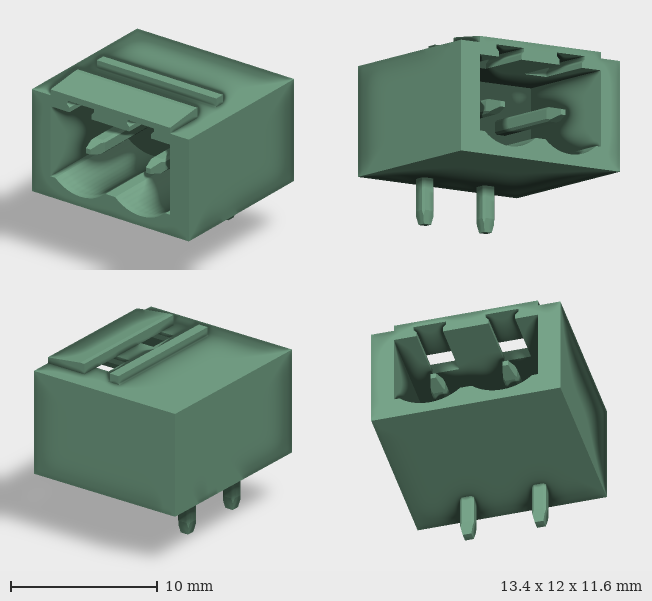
import cadquery as cq


pole_pitch = 5.09
pole_positions = (-pole_pitch / 2, pole_pitch / 2)

body_width = 13.36
body_depth = 12.0
body_height = 7.68
cavity_width = 10.17
cavity_depth = 8.15
cavity_floor = 1.56
cavity_ceiling = 6.85
scoop_width = 4.28
scoop_drop = 0.81

ramp_depth = 3.1
ramp_height = 0.77
ramp_front_height = 0.44
ramp_flat = 0.33

rib_front = 5.26
rib_thickness = 0.75
rib_height = 0.64
rib_foot_radius = 0.1

slot_depth = 4.14
slot_top_width = 2.32
slot_bottom_width = 1.87
slot_upper_drop = 0.24
slot_lower_drop = 0.48

pin_size = 1.0
pin_chamfer = 0.16
contact_height = 3.82
contact_tip_y = 0.9
contact_tip_length = 1.23
contact_tip_size = 0.39
leg_y = 9.94
leg_end_z = -3.18
leg_tip_length = 0.94
leg_tip_size = 0.61


def side_profile(points, width):
    """Extrude a (Y, Z) outline along X, centred on X = 0."""
    return cq.Workplane("YZ").polyline(points).close().extrude(width / 2, both=True)


def latch_ramp():
    return side_profile(
        [
            (0, body_height),
            (0, body_height + ramp_front_height),
            (ramp_depth - ramp_flat, body_height + ramp_height),
            (ramp_depth, body_height + ramp_height),
            (ramp_depth, body_height),
        ],
        cavity_width,
    )


def top_rib():
    """Rectangular rib whose front and back feet flare out as quarter-round fillets."""
    rib_back = rib_front + rib_thickness
    rib_top = body_height + rib_height
    foot_top = body_height + rib_foot_radius
    return (
        cq.Workplane("YZ")
        .moveTo(rib_front - rib_foot_radius, body_height)
        .radiusArc((rib_front, foot_top), -rib_foot_radius)
        .lineTo(rib_front, rib_top)
        .lineTo(rib_back, rib_top)
        .lineTo(rib_back, foot_top)
        .radiusArc((rib_back + rib_foot_radius, body_height), -rib_foot_radius)
        .close()
        .extrude(cavity_width / 2, both=True)
    )


def front_plane():
    """XZ plane at the front; negative extrusions run backwards into the housing."""
    return cq.Workplane("XZ")


def plug_cavity():
    """Rectangular opening whose floor has one round scoop under each pole."""
    half_width = cavity_width / 2
    outline = front_plane().moveTo(-half_width, cavity_ceiling).lineTo(-half_width, cavity_floor)
    for x in pole_positions:
        outline = outline.lineTo(x - scoop_width / 2, cavity_floor).threePointArc(
            (x, cavity_floor - scoop_drop), (x + scoop_width / 2, cavity_floor)
        )
    outline = outline.lineTo(half_width, cavity_floor).lineTo(half_width, cavity_ceiling)
    return outline.close().extrude(-cavity_depth)


def coding_slot(x):
    """Slot that narrows downwards from the top face into the cavity."""
    half_top = slot_top_width / 2
    half_bottom = slot_bottom_width / 2
    right_side = [
        (half_bottom, cavity_ceiling),
        (half_bottom, body_height - slot_lower_drop),
        (half_top, body_height - slot_upper_drop),
        (half_top, body_height),
    ]
    left_side = [(-offset, z) for offset, z in reversed(right_side)]
    outline = [(x + offset, z) for offset, z in right_side + left_side]
    return front_plane().polyline(outline).close().extrude(-slot_depth)


def pin_section(plane):
    """Square with bevelled corners, drawn on the given plane."""
    half = pin_size / 2
    flat = half - pin_chamfer
    corners = [
        (half, -flat), (half, flat), (flat, half), (-flat, half),
        (-half, flat), (-half, -flat), (-flat, -half), (flat, -half),
    ]
    return cq.Workplane(plane).polyline(corners).close()


def pin_tip(plane, length, end_size):
    """Four-sided taper from the full pin down to a small square end."""
    taper = (
        cq.Workplane(plane)
        .rect(pin_size, pin_size)
        .workplane(offset=length)
        .rect(end_size, end_size)
        .loft(ruled=True)
    )
    return pin_section(plane).extrude(length).intersect(taper)


def bent_pin(x):
    """Contact that runs back from the front opening and turns down into a solder leg."""
    contact_start = (x, contact_tip_y + contact_tip_length, contact_height)
    elbow = (x, leg_y, contact_height)
    leg_end = (x, leg_y, leg_end_z + leg_tip_length)
    contact_plane = cq.Plane(origin=contact_start, xDir=(1, 0, 0), normal=(0, -1, 0))
    leg_plane = cq.Plane(origin=leg_end, xDir=(1, 0, 0), normal=(0, 0, -1))

    path = cq.Workplane(cq.Wire.makePolygon([cq.Vector(*p) for p in (contact_start, elbow, leg_end)]))
    bar = pin_section(contact_plane).sweep(path, transition="right")
    return (
        bar.union(pin_tip(contact_plane, contact_tip_length, contact_tip_size))
        .union(pin_tip(leg_plane, leg_tip_length, leg_tip_size))
    )


def header_housing(pins):
    """Housing with its cavity and slots, and a passage that fits each pin."""
    body = cq.Workplane("XY").box(body_width, body_depth, body_height, centered=(True, False, False))
    body = body.union(latch_ramp()).union(top_rib()).cut(plug_cavity())
    for x in pole_positions:
        body = body.cut(coding_slot(x))
    for pin in pins:
        body = body.cut(pin)
    return body


pins = [bent_pin(x) for x in pole_positions]
housing = header_housing(pins)

result = cq.Compound.makeCompound([housing.val(), *[pin.val() for pin in pins]])